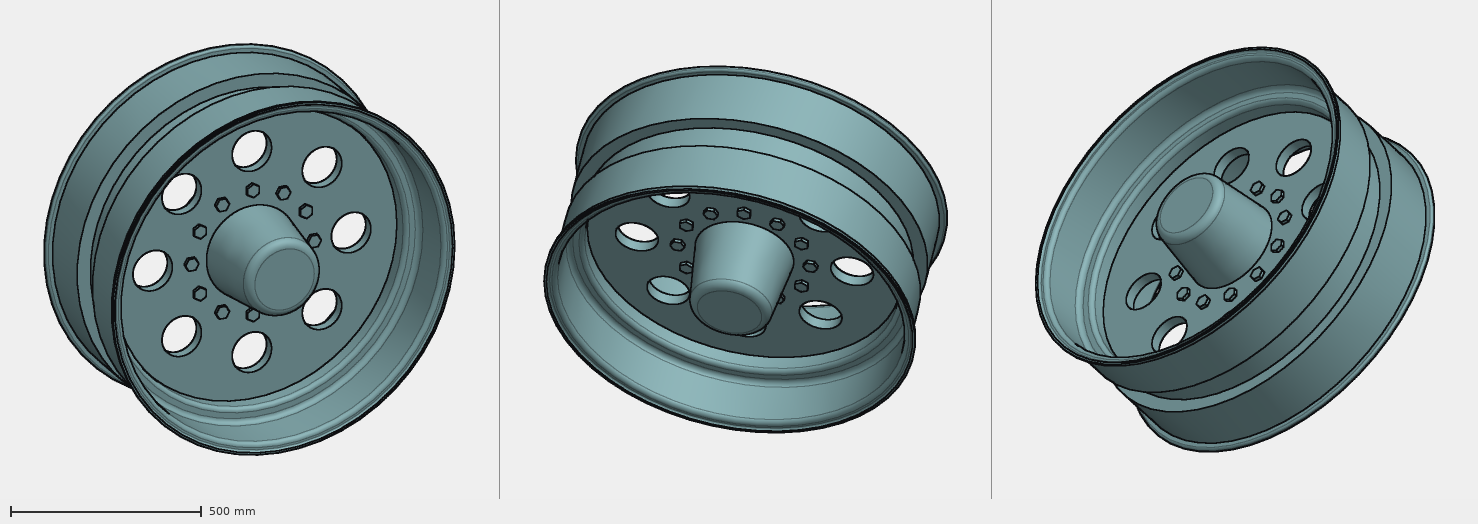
import cadquery as cq
import math


rim_diameter = 993.0
rim_width = 420.0
seat_diameter = 955.0
seat_bore = 930.0
channel_diameter = 879.0
channel_bore = 841.0
channel_width = 93.0
step_root_radius = 15.0
step_edge_radius = 13.0

lip_thickness = 6.5
flange_back_width = 394.0
flange_bend_radius = 13.0

web_thickness = 32.0
window_count = 8
window_diameter = 114.0
window_circle_radius = 288.0

hub_width = 427.0
hub_base_radius = 132.0
hub_face_radius = 107.0
hub_edge_radius = 24.0

bolt_count = 12
bolt_circle_radius = 178.0
bolt_across_corners = 39.0
bolt_height = 10.0


def both_sides(half):
    """Join a solid on the -X side with its mirror image."""
    return half.union(half.mirror("YZ"))


def arc_middle(center_x, center_r, radius, side_x, side_r):
    """Middle of a quarter arc; the sides (+1 or -1) tell which quadrant it lies in."""
    offset = radius * math.sqrt(0.5)
    return (center_x + side_x * offset, center_r + side_r * offset)


def make_half_rim():
    """Tyre seat, step and curled flange on the -X side."""
    outer = rim_diameter / 2
    lip_end = -rim_width / 2
    flange_back = -flange_back_width / 2
    flange_front = flange_back - lip_thickness
    seat_outer = seat_diameter / 2
    seat_inner = seat_bore / 2
    channel_outer = channel_diameter / 2
    channel_inner = channel_bore / 2
    step_face = -channel_width / 2 - (channel_outer - channel_inner)
    curl_inner_r = outer - 2 * lip_thickness

    profile = (
        cq.Workplane("XY")
        .moveTo(step_face + step_edge_radius, channel_inner)
        .threePointArc(
            arc_middle(step_face + step_edge_radius, channel_inner + step_edge_radius,
                       step_edge_radius, -1, -1),
            (step_face, channel_inner + step_edge_radius),
        )
        .lineTo(step_face, seat_inner - step_root_radius)
        .threePointArc(
            arc_middle(step_face - step_root_radius, seat_inner - step_root_radius,
                       step_root_radius, 1, 1),
            (step_face - step_root_radius, seat_inner),
        )
        .lineTo(flange_front + flange_bend_radius, seat_inner)
        .threePointArc(
            arc_middle(flange_front + flange_bend_radius, seat_inner + flange_bend_radius,
                       flange_bend_radius, -1, -1),
            (flange_front, seat_inner + flange_bend_radius),
        )
        .lineTo(flange_front, curl_inner_r)
        .threePointArc(
            arc_middle(lip_end, curl_inner_r, lip_thickness, 1, 1),
            (lip_end, outer - lip_thickness),
        )
        .lineTo(lip_end, outer)
        .lineTo(flange_front, outer)
        .threePointArc(
            arc_middle(flange_front, outer - lip_thickness, lip_thickness, 1, 1),
            (flange_back, outer - lip_thickness),
        )
        .lineTo(flange_back, seat_outer)
        .lineTo(-channel_width / 2, seat_outer)
        .lineTo(-channel_width / 2, channel_outer)
        .close()
    )
    return profile.revolve(360, (0, 0, 0), (1, 0, 0))


def make_channel():
    """Ring between the two steps, wider at its bore, where the edge roundings begin."""
    outer = channel_diameter / 2
    inner = channel_bore / 2
    half_width = channel_width / 2
    bore_half_width = half_width + (outer - inner) - step_edge_radius
    return (
        cq.Workplane("XY")
        .polyline([(-half_width, outer), (half_width, outer),
                   (bore_half_width, inner), (-bore_half_width, inner)])
        .close()
        .revolve(360, (0, 0, 0), (1, 0, 0))
    )


def make_web():
    """Disc with a ring of round windows."""
    web_radius = (channel_bore + channel_diameter) / 4
    return (
        cq.Workplane("YZ", origin=(-web_thickness / 2, 0, 0))
        .circle(web_radius)
        .extrude(web_thickness)
        .faces(">X")
        .workplane()
        .polarArray(window_circle_radius, 0, 360, window_count)
        .hole(window_diameter)
    )


def make_half_hub():
    """Hub cone on the -X side, with a rounded face edge."""
    face = -hub_width / 2
    hub = (
        cq.Workplane("XY")
        .polyline([(0, 0), (0, hub_base_radius), (-web_thickness / 2, hub_base_radius),
                   (face, hub_face_radius), (face, 0)])
        .close()
        .revolve(360, (0, 0, 0), (1, 0, 0))
    )
    return hub.faces("<X").edges().fillet(hub_edge_radius)


def make_half_bolts():
    """Bolt heads on the -X side, started inside the web so that they join it."""
    return (
        cq.Workplane("YZ")
        .polarArray(bolt_circle_radius, 0, 360, bolt_count)
        .polygon(6, bolt_across_corners)
        .extrude(-web_thickness / 2 - bolt_height)
    )


result = (
    make_web()
    .union(make_channel())
    .union(both_sides(make_half_rim()))
    .union(both_sides(make_half_hub()))
    .union(both_sides(make_half_bolts()))
)